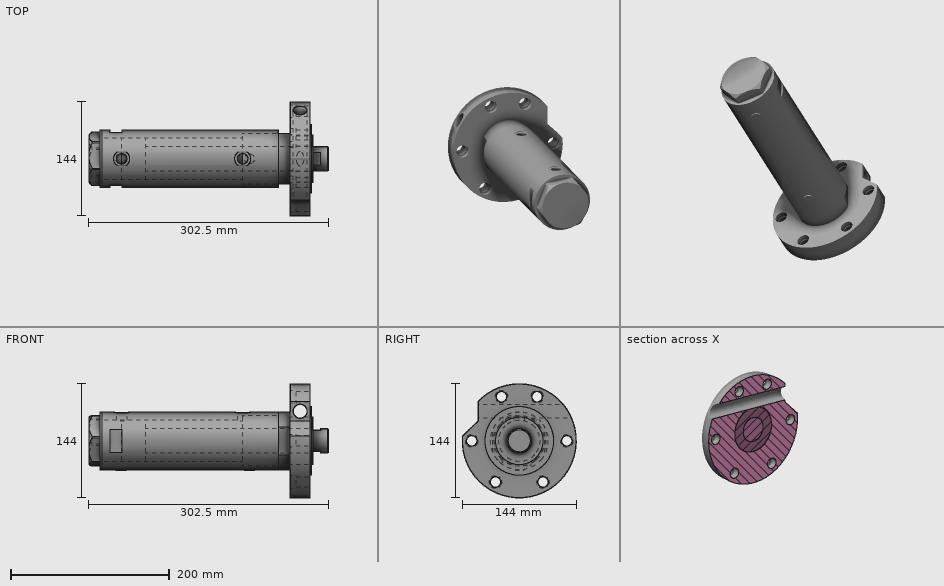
import cadquery as cq
import math


cap_hex_length = 13.8
cap_collar_length = 2.8
barrel_start = cap_hex_length + cap_collar_length
barrel_end = 239.0
neck_length = 15.0
flange_start = barrel_end + neck_length
flange_thickness = 25.0
flange_end = flange_start + flange_thickness
flange_boss_height = 1.75
stem_end = flange_end + 2 * flange_boss_height
rod_end = 302.52

barrel_radius = 36.5
bore_radius = 26.0
wrench_slot_start = 26.5
wrench_slot_width = 15.0
wrench_slot_half_flats = 33.5

cap_port_x = 41.3
head_port_x = 194.0
port_radius = 6.6
spot_radius = 10.2
spot_z = 35.5

pad_xs = (40.3, 202.7)
pad_radius = 6.25
pad_z = -37.6

hex_half_flats = 30.0
hex_corner_radius = 34.1
hex_chamfer = 4.0
hex_rotation = -7.8

head_spigot_radius = 32.0
neck_half_flats = 32.0
stem_radius = 30.0

flange_radius = 72.0
flange_boss_radius = 43.3
notch_y = -52.0
notch_z = 25.0
notch_ramp_end_z = 6.0
cross_hole_radius = 8.7
cross_hole_z = 37.3
bolt_circle_radius = 60.0
bolt_angles = (0, 68, 112, 180, 240, 300)
bolt_hole_radius = 6.5
bolt_counterbore_radius = 8.0
bolt_counterbore_depth = 7.0

piston_length = 30.0
rod_radius = 15.5
rod_chamfer = 1.5
rod_half_flats = 13.4
rod_flats_length = 10.0


def cylinder_x(radius, start, end):
    """Cylinder on the X axis between two stations."""
    return cq.Workplane("YZ", origin=(start, 0, 0)).circle(radius).extrude(end - start)


def cylinder_z(radius, x, z_low, z_high):
    """Upright cylinder through the X axis at station x."""
    return cq.Workplane("XY", origin=(x, 0, z_low)).circle(radius).extrude(z_high - z_low)


def block(x_start, x_end, y_size, z_size):
    """Box centred on the X axis between two stations."""
    length = x_end - x_start
    return cq.Workplane("XY").box(length, y_size, z_size).translate((x_start + length / 2, 0, 0))


def cut_flats(body, radius, half_flats, x_start, x_end, normal):
    """Cut two parallel flats, facing along Y or Z, into a round body."""
    size = 4 * radius
    kept_y = 2 * half_flats if normal == "Y" else size
    kept_z = 2 * half_flats if normal == "Z" else size
    cutter = block(x_start, x_end, size, size).cut(block(x_start, x_end, kept_y, kept_z))
    return body.cut(cutter)


def cross_hole():
    """Cutter along Y through the flange and the edge of the head stem."""
    x_middle = flange_start + flange_thickness / 2
    plane = cq.Workplane("XZ", origin=(x_middle, 0, cross_hole_z))
    return plane.circle(cross_hole_radius).extrude(2 * flange_radius, both=True)


def make_cap():
    corner_reach = hex_half_flats / math.cos(math.pi / 6)
    hexagon = (
        cq.Workplane("YZ")
        .polygon(6, 2 * corner_reach)
        .extrude(cap_hex_length)
        .rotate((0, 0, 0), (1, 0, 0), hex_rotation)
    )
    envelope = cylinder_x(hex_corner_radius, 0, cap_hex_length).faces("<X").chamfer(hex_chamfer)
    collar = cylinder_x(barrel_radius, cap_hex_length, barrel_start)
    spigot = cylinder_x(bore_radius, barrel_start, cap_port_x)
    return hexagon.intersect(envelope).union(collar).union(spigot)


def make_barrel():
    barrel = cylinder_x(barrel_radius, barrel_start, barrel_end)
    for x in pad_xs:
        barrel = barrel.union(cylinder_z(pad_radius, x, pad_z, 0))
    barrel = barrel.cut(cylinder_x(bore_radius, barrel_start, barrel_end))
    barrel = barrel.cut(cylinder_x(head_spigot_radius, head_port_x, barrel_end))
    for x in (cap_port_x, head_port_x):
        barrel = barrel.cut(cylinder_z(port_radius, x, 0, barrel_radius))
        barrel = barrel.cut(cylinder_z(spot_radius, x, spot_z, barrel_radius))
    slot_end = wrench_slot_start + wrench_slot_width
    return cut_flats(barrel, barrel_radius, wrench_slot_half_flats, wrench_slot_start, slot_end, "Y")


def make_head():
    spigot = cylinder_x(head_spigot_radius, head_port_x, barrel_end)
    neck = cylinder_x(barrel_radius, barrel_end, flange_start)
    neck = cut_flats(neck, barrel_radius, neck_half_flats, barrel_end, flange_start, "Y")
    stem = cylinder_x(stem_radius, flange_start, stem_end)
    head = spigot.union(neck).union(stem)
    return head.cut(cylinder_x(rod_radius, head_port_x, stem_end)).cut(cross_hole())


def rim_point(angle):
    """(y, z) point on the flange rim, angle in radians from +Y."""
    return flange_radius * math.cos(angle), flange_radius * math.sin(angle)


def make_flange():
    notch_top_angle = math.atan2(math.sqrt(flange_radius**2 - notch_y**2), notch_y)
    ramp_end_angle = math.pi - math.asin(notch_ramp_end_z / flange_radius)
    top_angle = math.pi / 2
    flange = (
        cq.Workplane("YZ", origin=(flange_start, 0, 0))
        .moveTo(*rim_point(notch_top_angle))
        .lineTo(notch_y, notch_z)
        .lineTo(*rim_point(ramp_end_angle))
        .threePointArc(rim_point(0), rim_point(top_angle))
        .threePointArc(rim_point((top_angle + notch_top_angle) / 2), rim_point(notch_top_angle))
        .close()
        .extrude(flange_thickness)
    )
    flange = flange.union(cylinder_x(flange_boss_radius, flange_end, flange_end + flange_boss_height))
    flange = flange.cut(cylinder_x(stem_radius, flange_start, stem_end)).cut(cross_hole())
    for angle in bolt_angles:
        y = bolt_circle_radius * math.cos(math.radians(angle))
        z = bolt_circle_radius * math.sin(math.radians(angle))
        hole = cylinder_x(bolt_hole_radius, flange_start, flange_end)
        counterbore_end = flange_start + bolt_counterbore_depth
        hole = hole.union(cylinder_x(bolt_counterbore_radius, flange_start, counterbore_end))
        flange = flange.cut(hole.translate((0, y, z)))
    return flange


def make_rod():
    piston = cylinder_x(bore_radius, cap_port_x, cap_port_x + piston_length)
    rod = cylinder_x(rod_radius, cap_port_x, rod_end).faces(">X").chamfer(rod_chamfer)
    flats_end = stem_end + rod_flats_length
    return cut_flats(rod, rod_radius, rod_half_flats, stem_end, flats_end, "Z").union(piston)


cap = make_cap()
barrel = make_barrel()
head = make_head()
flange = make_flange()
rod = make_rod()

result = cq.Compound.makeCompound([cap.val(), barrel.val(), head.val(), flange.val(), rod.val()])